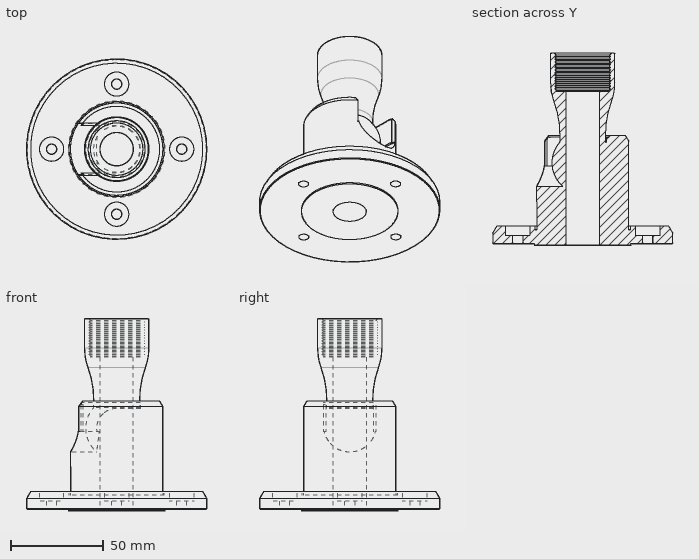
import cadquery as cq
import math

total_height = 104.5
pad_height = 0.8
flange_top = 10.7
holder_top = 59.7

flange_radius = 49.0
flange_bevel_height = 4.0
flange_bevel_width = 2.3
flange_foot_chamfer = 0.4
pad_radius = 26.2
screw_count = 4
screw_circle_radius = 35.3
screw_hole_radius = 2.7
counterbore_radius = 6.6
counterbore_depth = 5.2

holder_radius = 25.1
holder_bevel_height = 2.9
holder_bevel_width = 1.8
gap_radius = 25.8
gap_depth = 2.1

slot_half_width = 12.9
slot_ledge_width = 1.4
slot_outer_half_width = slot_half_width + slot_ledge_width
slot_floor_axis = 46.2
slot_wall_bottom = 43.1

core_radius = 23.2
core_top = 58.8
core_bevel_height = 0.9
core_bevel_width = 0.5

pivot_height = 44.8
ball_radius = 16.8
neck_radius = 12.5
flare_bottom = holder_top
flare_middle_radius = 15.7
flare_middle = 77.9
socket_radius = 17.6
socket_bottom = 88.4
rim_chamfer = 0.4

bore_radius = 9.0
socket_depth = 20.9
thread_minor_radius = 14.2
thread_major_radius = 15.0
thread_pitch = 1.5
mouth_radius = 15.5


def turn(outline):
    """Close a half outline on the XZ plane and revolve it about the Z axis."""
    return outline.close().revolve(360, (0, 0, 0), (0, 1, 0))


def make_mount():
    """Flange, bottom pad and holder as one revolved body."""
    bevel_bottom = flange_top - flange_bevel_height
    profile = [
        (0, 0),
        (pad_radius, 0),
        (pad_radius, pad_height),
        (flange_radius - flange_foot_chamfer, pad_height),
        (flange_radius, pad_height + flange_foot_chamfer),
        (flange_radius, bevel_bottom),
        (flange_radius - flange_bevel_width, flange_top),
        (gap_radius, flange_top),
        (gap_radius, flange_top - gap_depth),
        (holder_radius, flange_top - gap_depth),
        (holder_radius, holder_top - holder_bevel_height),
        (holder_radius - holder_bevel_width, holder_top),
        (0, holder_top),
    ]
    return turn(cq.Workplane("XZ").polyline(profile))


def drill_screw_holes(body):
    return (
        body.faces(cq.selectors.NearestToPointSelector((screw_circle_radius, 0, flange_top)))
        .workplane(origin=(0, 0, flange_top))
        .polarArray(screw_circle_radius, 0, 360, screw_count)
        .cboreHole(2 * screw_hole_radius, 2 * counterbore_radius, counterbore_depth)
    )


def make_channel(half_width):
    """Upright slot above the floor: round end on the Z axis, open towards -X."""
    return (
        cq.Workplane("XY", origin=(0, 0, slot_wall_bottom))
        .moveTo(-holder_radius, half_width)
        .lineTo(0, half_width)
        .threePointArc((half_width, 0), (0, -half_width))
        .lineTo(-holder_radius, -half_width)
        .close()
        .extrude(holder_top - slot_wall_bottom)
    )


def make_core():
    profile = [
        (0, 0),
        (core_radius, 0),
        (core_radius, core_top - core_bevel_height),
        (core_radius - core_bevel_width, core_top),
        (0, core_top),
    ]
    return turn(cq.Workplane("XZ").polyline(profile))


def make_slot():
    """Wide slot down to the core, narrow slot through the core, rounded floor along X."""
    outer_slot = make_channel(slot_outer_half_width).cut(make_core())
    inner_slot = make_channel(slot_half_width)
    floor = (
        cq.Workplane("YZ", origin=(0, 0, slot_floor_axis))
        .circle(slot_outer_half_width).extrude(-holder_radius)
    )
    below_walls = (
        cq.Workplane("XY").rect(4 * holder_radius, 4 * holder_radius).extrude(slot_wall_bottom)
    )
    return outer_slot.union(inner_slot).union(floor.intersect(below_walls))


def make_stem():
    """Ball with a flared stem; the flare is a convex arc running into a concave one."""
    ball = cq.Workplane("XY", origin=(0, 0, pivot_height)).sphere(ball_radius)
    stem_outline = (
        cq.Workplane("XZ")
        .moveTo(0, pivot_height)
        .lineTo(0, total_height)
        .lineTo(socket_radius - rim_chamfer, total_height)
        .lineTo(socket_radius, total_height - rim_chamfer)
        .lineTo(socket_radius, socket_bottom)
        .tangentArcPoint((flare_middle_radius, flare_middle), relative=False)
        .tangentArcPoint((neck_radius, flare_bottom), relative=False)
        .lineTo(neck_radius, pivot_height)
    )
    return ball.union(turn(stem_outline))


def make_bore():
    """Through bore and socket, with the thread as a stack of V-shaped rings."""
    socket_floor = total_height - socket_depth
    mouth_height = mouth_radius - thread_minor_radius
    thread_length = socket_depth - mouth_height
    ring_count = math.floor(thread_length / thread_pitch)
    profile = [
        (0, 0),
        (bore_radius, 0),
        (bore_radius, socket_floor),
        (thread_minor_radius, socket_floor),
    ]
    first_ring = total_height - mouth_height - ring_count * thread_pitch
    for ring in range(ring_count):
        ring_bottom = first_ring + ring * thread_pitch
        profile.append((thread_minor_radius, ring_bottom))
        profile.append((thread_major_radius, ring_bottom + thread_pitch / 2))
    profile += [
        (thread_minor_radius, total_height - mouth_height),
        (mouth_radius, total_height),
        (0, total_height),
    ]
    return turn(cq.Workplane("XZ").polyline(profile))


mount = drill_screw_holes(make_mount()).cut(make_slot())
result = mount.union(make_stem()).cut(make_bore())